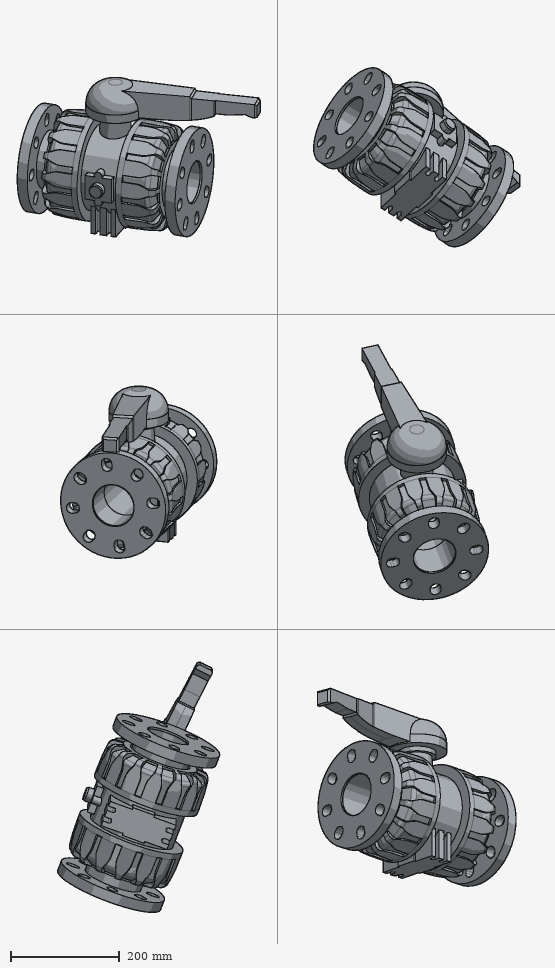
import cadquery as cq
import math


BORE_DIA = 79.0
BORE_MOUTH_DIA = 80.0
BORE_MOUTH_DEPTH = 4.0
FLANGE_DIA = 203.0
FLANGE_FACE_X = 155.3
FLANGE_THICKNESS = 20.0
STUB_DIA = 109.0
COLLAR_DIA = 151.0
COLLAR_INNER_X = 85.5
COLLAR_OUTER_X = 96.5

BOLT_COUNT = 8
BOLT_CIRCLE_RADIUS = 78.5
BOLT_SLOT_LENGTH = 24.7
BOLT_SLOT_WIDTH = 20.0
LEFT_BOLT_TURN = 1.1
RIGHT_BOLT_TURN = -8.9

NUT_RING_DIA = 202.5
NUT_INNER_X = 37.5
NUT_RING_END_X = 49.0
NUT_OUTER_X = 113.5
NUT_THREAD_DIA = 156.5
NUT_OPENING_DIA = 117.0
NUT_FACE_RADIUS = 72.5
LOBE_CROWN_X = 75.0
LOBE_CROWN_RADIUS = 100.5
LOBE_SHOULDER_X = 101.5
LOBE_SHOULDER_RADIUS = 98.0
LOBE_FACE_X = 111.8
LOBE_FACE_RADIUS = 88.7
GROOVE_FLOOR_RADIUS = 96.5
FLOOR_ROUND_START_X = 93.0
FLOOR_ROUND_END_X = 101.0
FLOOR_ROUND_END_RADIUS = 90.5
FLOOR_CONE_END_X = 109.5
FLOOR_CONE_END_RADIUS = 74.2
GROOVE_COUNT = 15
GROOVE_NARROW_ANGLE = 3.6
GROOVE_WIDE_ANGLE = 8.4
GROOVE_FLARE_START_X = 75.0
GROOVE_FLARE_END_X = 103.2
GROOVE_OVERRUN = 4.3
GROOVE_BOTTOM_RADIUS = 51.0
GROOVE_TOP_RADIUS = 111.0

BARREL_DIA = 162.5
NECK_TOP_RADIUS = 27.7
NECK_TOP_Z = 110.0
NECK_ROOT_RADIUS = 30.7
NECK_ROOT_Z = 64.0
FOOT_BOTTOM_Z = -104.5
FOOT_LENGTH = 48.5
FOOT_WIDTH = 129.3
FOOT_CORE_LENGTH = 56.0
FOOT_CORE_WIDTH = 42.5
FOOT_SLOT_WIDTH = 8.5
FOOT_SLOT_X = 10.5
FOOT_SLOT_END_Y = 49.5

PLATE_LENGTH = 52.0
PLATE_HEIGHT = 47.8
PLATE_FACE_Y = 91.5
LUG_RADIUS = 7.5
LUG_Z = 26.5
BUTTON_DIA = 26.5
BUTTON_TIP_DIA = 23.5
BUTTON_TIP_LENGTH = 3.5
BUTTON_END_Y = 106.0

HUB_DIA = 70.0
SKIRT_DIA = 110.0
SKIRT_BOTTOM_Z = 119.0
SKIRT_TOP_Z = 136.0
DOME_DIA = 109.0
HANDLE_TOP_Z = 177.5
LEVER_ANGLE = 6.5
LEVER_TIP = 271.7
ARM_END = 145.5
GRIP_START = 191.5
ARM_STEP = 3.5
GRIP_STEP = 2.0
ARM_ROOT_HALF_WIDTH = 27.0
ARM_END_HALF_WIDTH = 19.5
WRIST_HALF_WIDTH = 18.5
WRIST_END_HALF_WIDTH = 17.5
GRIP_HALF_WIDTH = 15.8
ARM_TOP_Z = 173.0
GRIP_TOP_Z = 169.0
ARM_BOTTOM_Z = 121.5
ARM_BOTTOM_FLAT_END = 89.5
WRIST_BOTTOM_Z = 138.0
GRIP_BOTTOM_Z = 142.0
GRIP_FLAT_END = 217.5
FINGER_REST = 250.0
FINGER_REST_Z = 146.8
HOOK_START = 261.5
TIP_CHAMFER = 4.0
TIP_CORNER = 4.0


def revolve_about_x(points):
    """Solid of revolution from (x, radius) points."""
    return cq.Workplane("XY").polyline(points).close().revolve(360, (0, 0, 0), (1, 0, 0))


def tube_cut(dia, x_start, x_end):
    """Round cutter along X."""
    return cq.Workplane("YZ", origin=(x_start, 0, 0)).circle(dia / 2).extrude(x_end - x_start)


def make_body():
    barrel_radius = BARREL_DIA / 2
    thread_radius = NUT_THREAD_DIA / 2
    barrel = revolve_about_x([
        (-COLLAR_INNER_X, 0),
        (-COLLAR_INNER_X, thread_radius),
        (-NUT_INNER_X, thread_radius),
        (-NUT_INNER_X, barrel_radius),
        (NUT_INNER_X, barrel_radius),
        (NUT_INNER_X, thread_radius),
        (COLLAR_INNER_X, thread_radius),
        (COLLAR_INNER_X, 0),
    ])
    neck = (
        cq.Workplane("XZ")
        .polyline([
            (0, NECK_ROOT_Z),
            (NECK_ROOT_RADIUS, NECK_ROOT_Z),
            (NECK_TOP_RADIUS, NECK_TOP_Z),
            (0, NECK_TOP_Z),
        ])
        .close()
        .revolve(360, (0, 0, 0), (0, 1, 0))
    )
    solid = barrel.union(neck).union(make_foot())
    return solid.cut(tube_cut(BORE_DIA, -COLLAR_INNER_X, COLLAR_INNER_X))


def make_foot():
    """Mounting foot with round-ended vertical slots in both long sides."""
    base = cq.Workplane("XY", origin=(0, 0, FOOT_BOTTOM_Z))
    height = -FOOT_BOTTOM_Z - BORE_DIA / 2
    foot = base.rect(FOOT_LENGTH, FOOT_WIDTH).extrude(height)
    slot_depth = 2 * (FOOT_WIDTH / 2 - FOOT_SLOT_END_Y)
    slot_places = [
        (x, y)
        for x in (-FOOT_SLOT_X, FOOT_SLOT_X)
        for y in (-FOOT_WIDTH / 2, FOOT_WIDTH / 2)
    ]
    slots = base.pushPoints(slot_places).slot2D(slot_depth, FOOT_SLOT_WIDTH, 90).extrude(height)
    core = base.rect(FOOT_CORE_LENGTH, FOOT_CORE_WIDTH).extrude(height)
    return foot.cut(slots).union(core)


def make_flanged_end(bolt_turn):
    """End connector on the +X side: collar, stub and flange in one piece."""
    flange_back_x = FLANGE_FACE_X - FLANGE_THICKNESS
    solid = revolve_about_x([
        (COLLAR_INNER_X, 0),
        (COLLAR_INNER_X, COLLAR_DIA / 2),
        (COLLAR_OUTER_X, COLLAR_DIA / 2),
        (COLLAR_OUTER_X, STUB_DIA / 2),
        (flange_back_x, STUB_DIA / 2),
        (flange_back_x, FLANGE_DIA / 2),
        (FLANGE_FACE_X, FLANGE_DIA / 2),
        (FLANGE_FACE_X, 0),
    ])
    solid = solid.cut(tube_cut(BORE_DIA, COLLAR_INNER_X, FLANGE_FACE_X))
    solid = solid.cut(tube_cut(BORE_MOUTH_DIA, FLANGE_FACE_X - BORE_MOUTH_DEPTH, FLANGE_FACE_X))
    bolt_slot = (
        cq.Workplane("YZ", origin=(flange_back_x, 0, 0))
        .center(0, BOLT_CIRCLE_RADIUS)
        .slot2D(BOLT_SLOT_LENGTH, BOLT_SLOT_WIDTH, 90)
        .extrude(FLANGE_THICKNESS)
    )
    for i in range(BOLT_COUNT):
        angle = bolt_turn + i * 360 / BOLT_COUNT
        solid = solid.cut(bolt_slot.rotate((0, 0, 0), (1, 0, 0), -angle))
    return solid


def groove_wire(radius):
    """Flared groove outline in the plane Z = radius, its sides at fixed angles about X."""
    narrow = radius * math.tan(math.radians(GROOVE_NARROW_ANGLE))
    wide = radius * math.tan(math.radians(GROOVE_WIDE_ANGLE))
    flare_length = GROOVE_FLARE_END_X - GROOVE_FLARE_START_X
    flare_in = (flare_length, wide - narrow)
    flare_out = (-flare_length, wide - narrow)
    end_x = NUT_OUTER_X + GROOVE_OVERRUN
    return (
        cq.Workplane("XY", origin=(0, 0, radius))
        .moveTo(NUT_RING_END_X, -narrow)
        .lineTo(NUT_RING_END_X, narrow)
        .lineTo(GROOVE_FLARE_START_X, narrow)
        .spline([(GROOVE_FLARE_END_X, wide)], tangents=[(1, 0), flare_in], includeCurrent=True)
        .lineTo(end_x, wide)
        .lineTo(end_x, -wide)
        .lineTo(GROOVE_FLARE_END_X, -wide)
        .spline([(GROOVE_FLARE_START_X, -narrow)], tangents=[flare_out, (-1, 0)], includeCurrent=True)
        .close()
        .val()
    )


def make_nut():
    """Union nut on the +X side: lobed grip, plain ring and stepped cavity."""
    ring_radius = NUT_RING_DIA / 2
    blank = (
        cq.Workplane("XY")
        .moveTo(NUT_INNER_X, 0)
        .lineTo(NUT_INNER_X, ring_radius)
        .lineTo(NUT_RING_END_X, ring_radius)
        .threePointArc((LOBE_CROWN_X, LOBE_CROWN_RADIUS), (LOBE_SHOULDER_X, LOBE_SHOULDER_RADIUS))
        .tangentArcPoint((LOBE_FACE_X, LOBE_FACE_RADIUS), relative=False)
        .lineTo(NUT_OUTER_X, NUT_FACE_RADIUS)
        .lineTo(NUT_OUTER_X, 0)
        .close()
        .revolve(360, (0, 0, 0), (1, 0, 0))
    )
    core = (
        cq.Workplane("XY")
        .moveTo(NUT_INNER_X, 0)
        .lineTo(NUT_INNER_X, GROOVE_FLOOR_RADIUS)
        .lineTo(FLOOR_ROUND_START_X, GROOVE_FLOOR_RADIUS)
        .tangentArcPoint((FLOOR_ROUND_END_X, FLOOR_ROUND_END_RADIUS), relative=False)
        .lineTo(FLOOR_CONE_END_X, FLOOR_CONE_END_RADIUS)
        .lineTo(FLOOR_CONE_END_X, NUT_FACE_RADIUS)
        .lineTo(NUT_OUTER_X, NUT_FACE_RADIUS)
        .lineTo(NUT_OUTER_X, 0)
        .close()
        .revolve(360, (0, 0, 0), (1, 0, 0))
    )
    cutter = cq.Workplane(
        cq.Solid.makeLoft([groove_wire(GROOVE_BOTTOM_RADIUS), groove_wire(GROOVE_TOP_RADIUS)], True)
    )
    groove = cutter.cut(core)
    nut = blank
    for i in range(GROOVE_COUNT):
        nut = nut.cut(groove.rotate((0, 0, 0), (1, 0, 0), i * 360 / GROOVE_COUNT))
    nut = nut.cut(tube_cut(NUT_THREAD_DIA, NUT_INNER_X, COLLAR_OUTER_X))
    return nut.cut(tube_cut(NUT_OPENING_DIA, COLLAR_OUTER_X, NUT_OUTER_X))


def make_lock_plate():
    """Plate with two round lugs, seated on the -Y side of the barrel."""
    plate = cq.Workplane("XZ").rect(PLATE_LENGTH, PLATE_HEIGHT).extrude(PLATE_FACE_Y)
    for z in (-LUG_Z, LUG_Z):
        lug = cq.Workplane("XZ").center(0, z).circle(LUG_RADIUS).extrude(PLATE_FACE_Y)
        plate = plate.union(lug)
    return plate.cut(tube_cut(BARREL_DIA, -NUT_INNER_X, NUT_INNER_X))


def make_button():
    """Round button on the plate face with a slightly tapered tip."""
    tip_start_y = BUTTON_END_Y - BUTTON_TIP_LENGTH
    return (
        cq.Workplane("XY")
        .polyline([
            (0, -PLATE_FACE_Y),
            (BUTTON_DIA / 2, -PLATE_FACE_Y),
            (BUTTON_DIA / 2, -tip_start_y),
            (BUTTON_TIP_DIA / 2, -BUTTON_END_Y),
            (0, -BUTTON_END_Y),
        ])
        .close()
        .revolve(360, (0, 0, 0), (0, 1, 0))
    )


def make_lever():
    """Lever along +X: a side outline trimmed by a stepped plan outline."""
    wrist_start = ARM_END + ARM_STEP
    grip_full = GRIP_START + GRIP_STEP
    side = (
        cq.Workplane("XZ")
        .moveTo(0, ARM_BOTTOM_Z)
        .lineTo(0, ARM_TOP_Z)
        .lineTo(ARM_END, ARM_TOP_Z)
        .lineTo(wrist_start, GRIP_TOP_Z)
        .lineTo(LEVER_TIP - TIP_CHAMFER, GRIP_TOP_Z)
        .lineTo(LEVER_TIP, GRIP_TOP_Z - TIP_CHAMFER)
        .lineTo(LEVER_TIP, GRIP_BOTTOM_Z)
        .lineTo(HOOK_START, GRIP_BOTTOM_Z)
        .lineTo(FINGER_REST, FINGER_REST_Z)
        .lineTo(GRIP_FLAT_END, GRIP_BOTTOM_Z)
        .lineTo(grip_full, GRIP_BOTTOM_Z)
        .lineTo(GRIP_START, WRIST_BOTTOM_Z)
        .spline([(ARM_BOTTOM_FLAT_END, ARM_BOTTOM_Z)], tangents=[(-2, -1), (-1, 0)], includeCurrent=True)
        .close()
        .extrude(ARM_ROOT_HALF_WIDTH, both=True)
    )
    half_outline = [
        (0, ARM_ROOT_HALF_WIDTH),
        (ARM_END, ARM_END_HALF_WIDTH),
        (wrist_start, WRIST_HALF_WIDTH),
        (GRIP_START, WRIST_END_HALF_WIDTH),
        (grip_full, GRIP_HALF_WIDTH),
        (LEVER_TIP - TIP_CHAMFER, GRIP_HALF_WIDTH),
        (LEVER_TIP, GRIP_HALF_WIDTH - TIP_CORNER),
    ]
    other_half = [(x, -y) for x, y in reversed(half_outline)]
    plan = cq.Workplane("XY").polyline(half_outline + other_half).close().extrude(HANDLE_TOP_Z)
    return side.intersect(plan).rotate((0, 0, 0), (0, 0, 1), LEVER_ANGLE)


def make_handle():
    """Hub, skirt and flat-topped dome with the lever growing out of the side."""
    dome_round = HANDLE_TOP_Z - SKIRT_TOP_Z
    dome_radius = DOME_DIA / 2
    head = (
        cq.Workplane("XZ")
        .moveTo(0, NECK_TOP_Z)
        .lineTo(HUB_DIA / 2, NECK_TOP_Z)
        .lineTo(HUB_DIA / 2, SKIRT_BOTTOM_Z)
        .lineTo(SKIRT_DIA / 2, SKIRT_BOTTOM_Z)
        .lineTo(SKIRT_DIA / 2, SKIRT_TOP_Z)
        .lineTo(dome_radius, SKIRT_TOP_Z)
        .radiusArc((dome_radius - dome_round, HANDLE_TOP_Z), -dome_round)
        .lineTo(0, HANDLE_TOP_Z)
        .close()
        .revolve(360, (0, 0, 0), (0, 1, 0))
    )
    return head.union(make_lever())


body = make_body()
handle = make_handle()
lock_plate = make_lock_plate()
button = make_button()

right_nut = make_nut()
nuts = [right_nut, right_nut.mirror("YZ")]
flanged_ends = [make_flanged_end(RIGHT_BOLT_TURN), make_flanged_end(LEFT_BOLT_TURN).mirror("YZ")]

result = cq.Compound.makeCompound([
    body.val(),
    handle.val(),
    lock_plate.val(),
    button.val(),
    *[part.val() for part in nuts + flanged_ends],
])